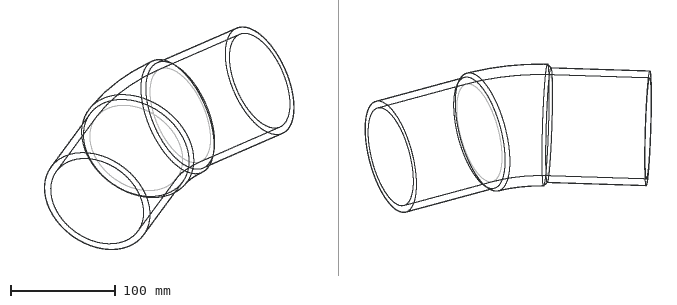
import cadquery as cq
import math

overall_length = 270.0
bend_angle = 30.0
arm_length = 94.8
pipe_diameter = 110.0
bore_diameter = 96.7
sleeve_diameter = 116.7

pipe_radius = pipe_diameter / 2
chamfer_size = (sleeve_diameter - pipe_diameter) / 2

angle = math.radians(bend_angle)
arms_length_y = arm_length * (1 + math.cos(angle))
outlet_rim_rise = pipe_radius * math.sin(angle)
bend_radius = (overall_length - arms_length_y - outlet_rim_rise) / math.sin(angle)

bend_start = cq.Vector(0, arm_length, 0)
bend_end = cq.Vector(
    bend_radius * (1 - math.cos(angle)),
    arm_length + bend_radius * math.sin(angle),
    0,
)
inlet_direction = cq.Vector(0, -1, 0)
outlet_direction = cq.Vector(math.sin(angle), math.cos(angle), 0)


def straight(diameter, start, direction):
    """Cylinder running from a bend end out to the open end of its arm."""
    return cq.Workplane(cq.Solid.makeCylinder(diameter / 2, arm_length, start, direction))


def elbow(diameter):
    """Curved solid of circular section joining the two arms."""
    section = cq.Workplane("XZ", origin=bend_start.toTuple()).circle(diameter / 2)
    return section.revolve(bend_angle, (bend_radius, 2.7, 0), (bend_radius, 0, 0))


body = elbow(sleeve_diameter).faces("%PLANE").chamfer(chamfer_size)
bore = elbow(bore_diameter)
for start, direction in ((bend_start, inlet_direction), (bend_end, outlet_direction)):
    body = body.union(straight(pipe_diameter, start, direction))
    bore = bore.union(straight(bore_diameter, start, direction))

result = body.cut(bore)